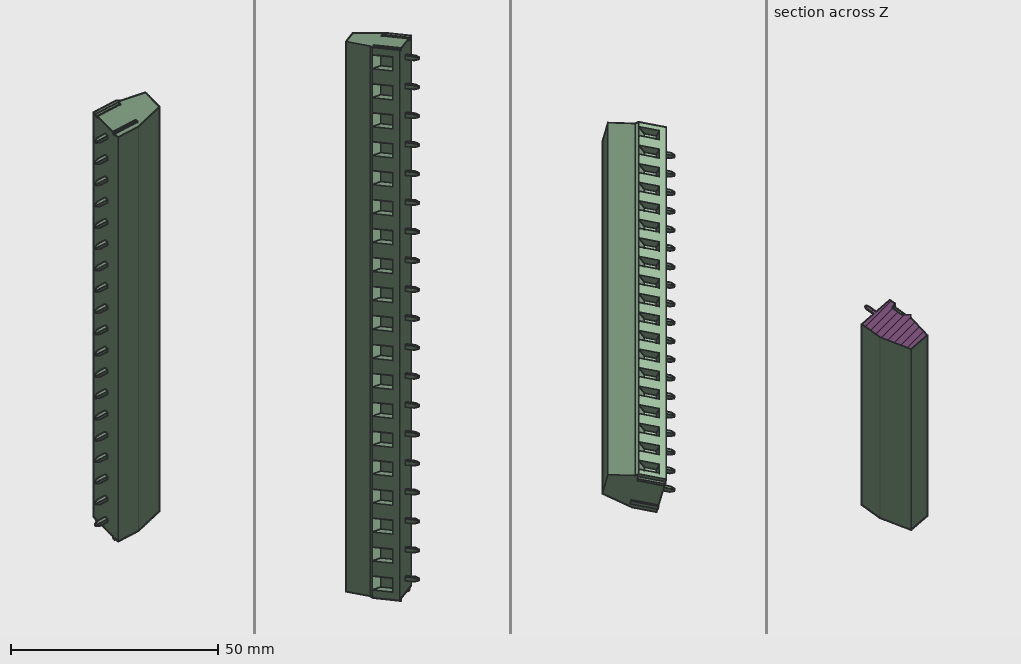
import cadquery as cq

total_length = 143.1
total_depth = 17.3

poles = 19
body_length = 142.5
pitch = body_length / poles
body_width = 10.2
body_depth = 14.0
half_width = body_width / 2

left_shoulder_y = 6.9
right_shoulder_y = 6.0
ledge_width = 0.65
ledge_y = left_shoulder_y + ledge_width
crown_left_x = -3.1
crown_right_x = 2.7

tongue_height = total_length - body_length
tongue_length = left_shoulder_y
left_tongue_outer_x = -4.3
left_tongue_inner_x = -3.5
left_tongue_taper = 0.3
right_tongue_inner_x = 2.9
right_tongue_outer_x = 3.7

mouth_near_y = 1.7
mouth_far_y = left_shoulder_y
mouth_height = 3.6
floor_near_y = 2.1
floor_far_y = 5.2
floor_height = 2.7
entry_depth = 1.5

pin_x = 0.3
pin_width = 1.0
pin_length = total_depth - body_depth
tip_length = 1.0
tip_width = 0.5


def pole_z(index):
    """Height of the middle of one pole."""
    return (index + 0.5) * pitch


def make_body():
    """Housing with a tapered crown, extruded along the row of poles."""
    return (
        cq.Workplane("XY")
        .polyline([
            (-half_width, 0),
            (half_width, 0),
            (half_width, right_shoulder_y),
            (crown_right_x, body_depth),
            (crown_left_x, body_depth),
            (ledge_width - half_width, ledge_y),
            (-half_width, left_shoulder_y),
        ])
        .close()
        .extrude(body_length)
    )


def make_tongue(inner_x, outer_x, taper, root_z):
    """Tongue reaching down from root_z; taper shifts the tip end of its outer side."""
    tip_z = root_z - tongue_height
    return (
        cq.Workplane("XZ", origin=(0, tongue_length, 0))
        .polyline([
            (inner_x, root_z),
            (outer_x, root_z),
            (outer_x + taper, tip_z),
            (inner_x, tip_z),
        ])
        .close()
        .extrude(tongue_length)
    )


def make_tongues(root_z):
    """Tapered left tongue and straight right tongue."""
    left = make_tongue(left_tongue_inner_x, left_tongue_outer_x, left_tongue_taper, root_z)
    right = make_tongue(right_tongue_inner_x, right_tongue_outer_x, 0, root_z)
    return left.add(right).combine()


def wire_entry(z):
    """Tapered rectangular pocket, sloping most on its +Y side."""
    wall = cq.Plane(origin=(-half_width, 0, z), xDir=(0, 1, 0), normal=(1, 0, 0))
    mouth_y = (mouth_near_y + mouth_far_y) / 2
    floor_y = (floor_near_y + floor_far_y) / 2
    return (
        cq.Workplane(wall)
        .center(mouth_y, 0)
        .rect(mouth_far_y - mouth_near_y, mouth_height)
        .workplane(offset=entry_depth)
        .center(floor_y - mouth_y, 0)
        .rect(floor_far_y - floor_near_y, floor_height)
        .loft()
    )


def solder_pin(z):
    """Square pin with a tapered tip, pointing towards -Y."""
    face = cq.Plane(origin=(pin_x, 0, z), xDir=(1, 0, 0), normal=(0, -1, 0))
    shank_length = pin_length - tip_length
    shank = cq.Workplane(face).rect(pin_width, pin_width).extrude(shank_length)
    tip = (
        cq.Workplane(face)
        .workplane(offset=shank_length)
        .rect(pin_width, pin_width)
        .workplane(offset=tip_length)
        .rect(tip_width, tip_width)
        .loft()
    )
    return shank.union(tip)


result = make_body().cut(make_tongues(body_length)).union(make_tongues(0))
for index in range(poles):
    result = result.cut(wire_entry(pole_z(index)))
    result = result.union(solder_pin(pole_z(index)))